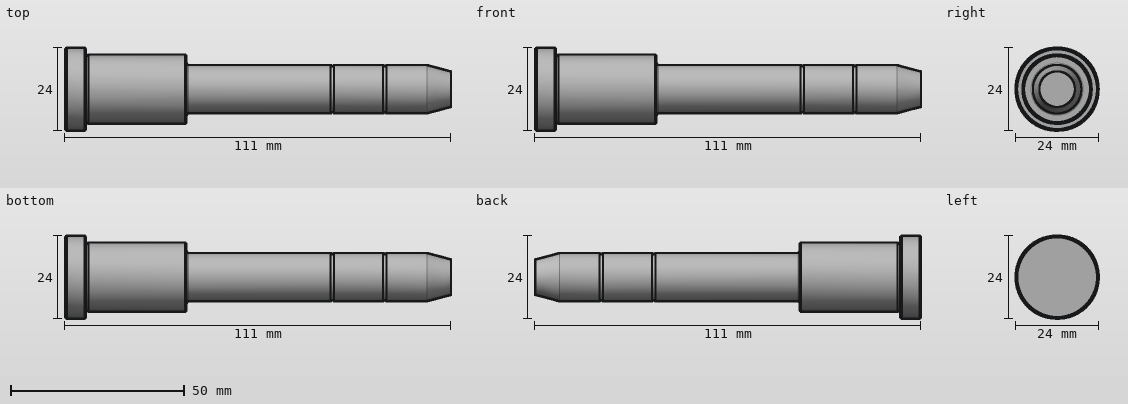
import cadquery as cq
import math

length = 111.0
head_radius = 24.0 / 2
body_radius = 20.0 / 2
shank_radius = 14.0 / 2

head_end = 6.0
body_end = 35.0
groove_starts = (76.4, 91.5)

edge_chamfer = 0.5
root_fillet = 0.5
relief_width = 0.8
relief_depth = 0.3
groove_width = 1.0
groove_depth = 0.3
taper_length = 7.0
taper_angle = 15.0

taper_start = length - taper_length
tip_radius = shank_radius - taper_length * math.tan(math.radians(taper_angle))


def add_groove(profile, start, width, depth, radius):
    """Continue the profile along a surface and through a shallow round groove."""
    return profile.lineTo(start, radius).threePointArc(
        (start + width / 2, radius - depth), (start + width, radius)
    )


profile = (
    cq.Workplane("XY")
    .lineTo(0, head_radius - edge_chamfer)
    .lineTo(edge_chamfer, head_radius)
    .lineTo(head_end - edge_chamfer, head_radius)
    .lineTo(head_end, head_radius - edge_chamfer)
)

profile = add_groove(profile, head_end, relief_width, relief_depth, body_radius)
profile = (
    profile.lineTo(body_end - edge_chamfer, body_radius)
    .lineTo(body_end, body_radius - edge_chamfer)
)

fillet_mid = root_fillet * (1 - math.sqrt(0.5))
profile = profile.lineTo(body_end, shank_radius + root_fillet).threePointArc(
    (body_end + fillet_mid, shank_radius + fillet_mid),
    (body_end + root_fillet, shank_radius),
)

for groove_start in groove_starts:
    profile = add_groove(profile, groove_start, groove_width, groove_depth, shank_radius)
profile = (
    profile.lineTo(taper_start, shank_radius)
    .lineTo(length, tip_radius)
    .lineTo(length, 0)
    .close()
)

result = profile.revolve(360, (0, 0, 0), (1, 0, 0))